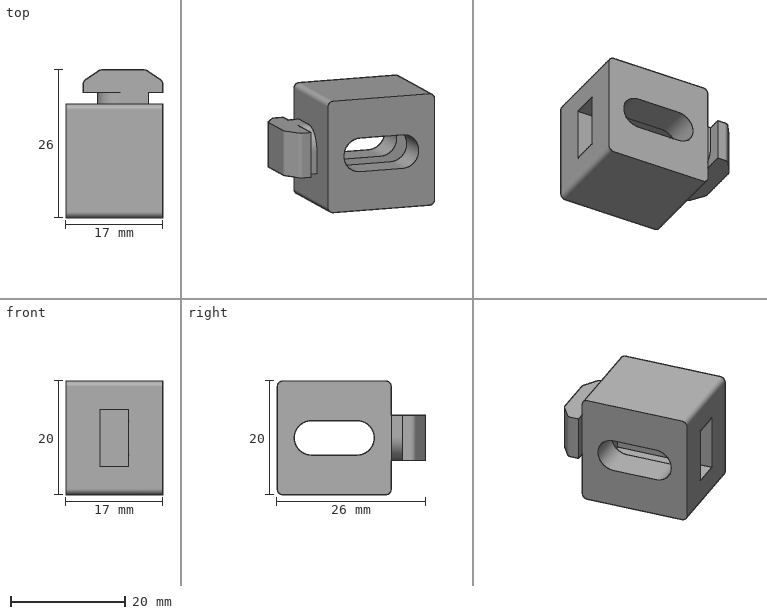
import cadquery as cq
import math

block_width = 17.0
block_depth = 20.0
block_height = 20.0
block_edge_radius = 1.0

slot_length = 14.0
slot_height = 6.0

pocket_width = 5.0
pocket_height = 10.0
pocket_end_wall = 2.0

overall_depth = 26.0
head_width = 14.0
head_depth = 4.0
foot_height = 8.0
stem_width = 9.0
head_bevel_width = 3.0
head_bevel_depth = 2.0
head_corner_radius = 1.0

front_y = -block_depth / 2
back_y = block_depth / 2
foot_end_y = front_y + overall_depth
head_base_y = foot_end_y - head_depth
head_center_x = (block_width - head_width) / 2


def make_block():
    block = cq.Workplane("XY").box(block_width, block_depth, block_height)
    return block.edges("|X").fillet(block_edge_radius)


def make_slot():
    return (
        cq.Workplane("YZ")
        .slot2D(slot_length, slot_height)
        .extrude(block_width / 2, both=True)
    )


def make_pocket():
    pocket_depth = block_depth - pocket_end_wall
    return (
        cq.Workplane("XY")
        .box(pocket_width, pocket_depth, pocket_height, centered=(True, False, True))
        .translate((0, front_y, 0))
    )


def make_stem():
    half_width = stem_width / 2
    corner_radius = foot_height / 2
    corner_offset = corner_radius * math.sqrt(0.5)
    arc_center_x = half_width - corner_radius
    return (
        cq.Workplane("XZ", origin=(head_center_x, head_base_y, 0))
        .moveTo(-half_width, -corner_radius)
        .lineTo(arc_center_x, -corner_radius)
        .threePointArc((arc_center_x + corner_offset, -corner_offset), (half_width, 0))
        .lineTo(half_width, corner_radius)
        .lineTo(-arc_center_x, corner_radius)
        .threePointArc((-arc_center_x - corner_offset, corner_offset), (-half_width, 0))
        .close()
        .extrude(head_base_y - back_y)
    )


def make_head():
    half_width = head_width / 2
    half_end_width = half_width - head_bevel_width
    shoulder_y = head_depth - head_bevel_depth
    head = (
        cq.Workplane("XY")
        .polyline([
            (-half_width, 0),
            (half_width, 0),
            (half_width, shoulder_y),
            (half_end_width, head_depth),
            (-half_end_width, head_depth),
            (-half_width, shoulder_y),
        ])
        .close()
        .extrude(foot_height / 2, both=True)
    )
    bevel_corners = head.edges("|Z and (not <Y)")
    rounded_head = bevel_corners.fillet(head_corner_radius)
    return rounded_head.translate((head_center_x, head_base_y, 0))


body = make_block().cut(make_slot()).cut(make_pocket())
result = body.union(make_stem()).union(make_head())